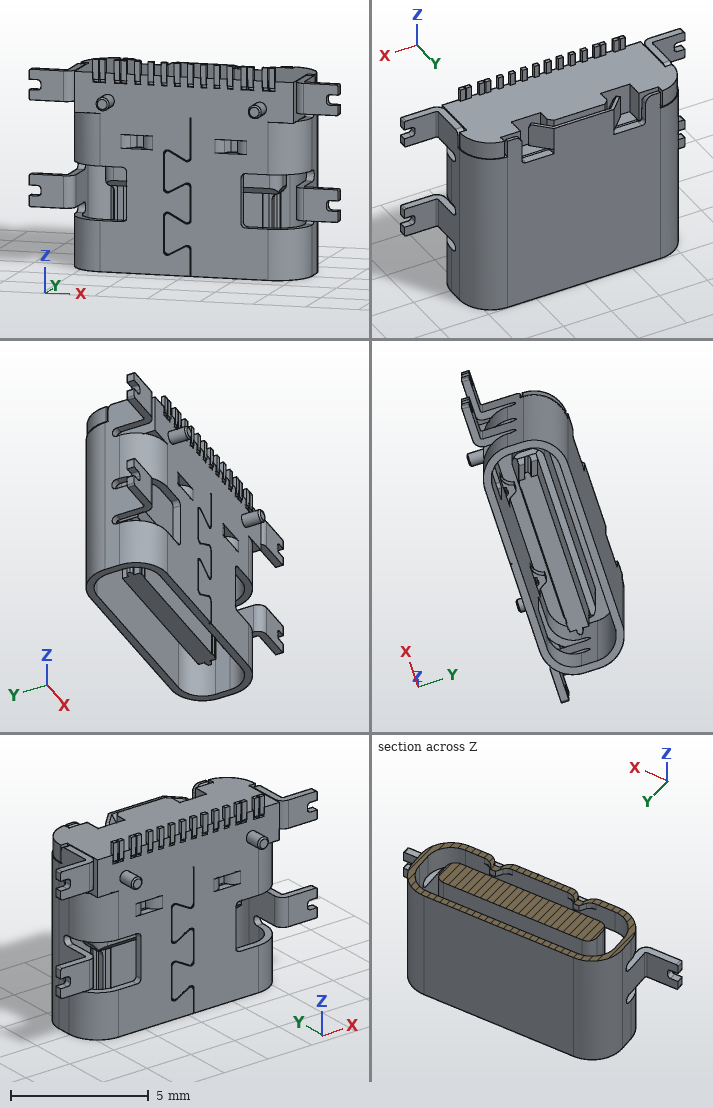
import cadquery as cq
import math

shell_width = 8.94
shell_depth = 3.17
corner_radius = 1.29
sheet = 0.29
front_height = 5.85
back_height = 6.66
half_width = shell_width / 2
front_y = -shell_depth / 2
back_y = shell_depth / 2
flat_half = half_width - corner_radius

body_top = 7.36
body_front_half = 4.14
body_inset = 0.04
shoulder_y = 0.25

foot_half_span = 5.85
foot_drop = 0.04
bend_inner = 0.07
leg_gap_y = 0.07
upper_leg = (6.22, body_top)
lower_leg = (2.28, 3.49)
notch_width = 0.39
notch_length = 0.45
notch_corner = 0.13
foot_corner = 0.07
leg_shoulder = 0.18
window_z = (1.9, 3.91)
slot_end_y = -0.19
window_inner_x = 2.16
window_corner = 0.18

base_bottom, base_half_width, base_half_thick, base_corner = 3.22, 3.35, 0.61, 0.4
tongue_top, tongue_tip = 2.98, 0.58
tongue_half_width, tongue_half_thick = 2.98, 0.36
tongue_flare = 0.21
plate_half_width, plate_half_thick = 3.19, 0.12
plate_edge_half_thick, plate_bevel = 0.06, 0.1
ground_x, ground_width, ground_proud = 2.75, 0.23, 0.02

lance_x = (-2.39, -1.18)
lance_pitch = 3.56
lance_z = (4.61, 5.11)
lance_depth = 0.4
lance_entry = (0.33, 0.14)
lance_floor = (0.49, 0.74)

seam_right, seam_left = 0.23, -0.77
seam_gap, seam_depth = 0.02, 0.07
seam_centres = (3.84, 1.53)
seam_wide, seam_narrow = 1.78, 0.68
seam_rounding = 0.14

pin_top, pin_bottom, pin_pocket_bottom = 7.85, 7.11, 7.0
pin_thick = 0.15
single_pins = 8
single_pin_span = 3.5
contact_pitch = single_pin_span / (single_pins - 1)
pin_width = 0.21
paired_pin_offset = 0.13
pair_centres = (2.4, 3.2)
peg_x, peg_z, peg_radius, peg_length, peg_chamfer = 2.88, 6.33, 0.25, 0.74, 0.06

recess_half = 3.29
recess_depth = 0.33
pocket_x = (1.25, 2.47)
pocket_depth = 1.0
pocket_chamfer = 0.19
tab_top = 7.25
ear_top = 7.35
ear_inner_x = 2.57
ear_corner = 0.3
pocket_floor = 6.14
floor_slope_width, floor_slope_depth = 0.09, 0.12
ear_root = 0.15
lead_in_width, lead_in_height = 0.16, 0.28
tab_half_flat = 1.25
arm_reach, arm_drop = 0.67, 0.69
arm_corner = 0.18
arm_bottom = 6.32


def box(x, y, z):
    """Box from (min, max) ranges."""
    size = [r[1] - r[0] for r in (x, y, z)]
    return cq.Workplane("XY").box(*size, centered=False).translate((x[0], y[0], z[0]))


def both_sides(solid):
    return solid.union(solid.mirror("YZ"))


def rounded_bar(width, depth, radius, z_low, z_high):
    bar = cq.Workplane("XY").workplane(offset=z_low).rect(width, depth).extrude(z_high - z_low)
    return bar.edges("|Z").fillet(radius)


def make_shell():
    tube = rounded_bar(shell_width, shell_depth, corner_radius, 0, back_height)
    cavity = rounded_bar(
        shell_width - 2 * sheet, shell_depth - 2 * sheet, corner_radius - sheet, 0, front_height
    )
    front_removed = box((-half_width, half_width), (front_y, slot_end_y), (front_height, back_height))
    window = box((window_inner_x, half_width), (front_y, slot_end_y), window_z)
    window = window.edges("|Y and <X").fillet(window_corner)
    return tube.cut(cavity).cut(front_removed).cut(both_sides(window))


def make_housing():
    rounded = rounded_bar(
        shell_width - 2 * body_inset, shell_depth - 2 * body_inset, corner_radius - body_inset,
        front_height, body_top,
    )
    rounded = rounded.intersect(
        box((-half_width, half_width), (shoulder_y, back_y), (front_height, body_top))
    )
    square = box((-body_front_half, body_front_half), (front_y, shoulder_y), (front_height, body_top))
    return rounded.union(square)


def make_leg(z_range, rear_y):
    """Right-hand leg: straight wall, rounded bend and notched foot."""
    outer, inner = half_width, half_width - sheet
    foot_y = front_y - foot_drop
    bend_outer = bend_inner + sheet
    z_low, z_high = z_range
    leg = (
        cq.Workplane("XY").workplane(offset=z_low)
        .moveTo(inner, rear_y)
        .lineTo(inner, foot_y + bend_outer)
        .radiusArc((inner + bend_outer, foot_y), -bend_outer)
        .lineTo(foot_half_span, foot_y)
        .lineTo(foot_half_span, foot_y + sheet)
        .lineTo(outer + bend_inner, foot_y + sheet)
        .radiusArc((outer, foot_y + sheet + bend_inner), bend_inner)
        .lineTo(outer, rear_y)
        .close()
        .extrude(z_high - z_low)
    )
    z_mid = (z_low + z_high) / 2
    notch = box(
        (foot_half_span - notch_length, foot_half_span + notch_length),
        (foot_y, foot_y + sheet),
        (z_mid - notch_width / 2, z_mid + notch_width / 2),
    ).edges("|Y and <X").fillet(notch_corner)
    return leg.edges("|Y and >X").fillet(foot_corner).cut(notch)


def slot_end(z_low, z_high):
    """Rounded rear end of the slot beside a leg."""
    width = z_high - z_low
    depth = half_width - body_front_half
    return (
        cq.Workplane("YZ", origin=(body_front_half, slot_end_y, (z_low + z_high) / 2))
        .circle(width / 2).extrude(depth)
    )


def make_tongue():
    base = rounded_bar(
        2 * base_half_width, 2 * base_half_thick, base_corner, base_bottom, front_height
    )
    taper = (
        cq.Workplane("XY").workplane(offset=tongue_top)
        .rect(2 * plate_half_width, 2 * tongue_half_thick)
        .workplane(offset=base_bottom - tongue_top)
        .rect(2 * base_half_width, 2 * base_half_thick)
        .loft()
    ).intersect(
        rounded_bar(2 * base_half_width, 2 * base_half_thick, base_corner, tongue_top, base_bottom)
    )
    blade = box(
        (-tongue_half_width, tongue_half_width),
        (-tongue_half_thick, tongue_half_thick),
        (tongue_tip, tongue_top),
    )
    flare_top = (tongue_half_width + tongue_flare, tongue_top)
    flare = (
        cq.Workplane("XZ", origin=(0, tongue_half_thick, 0))
        .moveTo(tongue_half_width, tongue_top).lineTo(*flare_top)
        .radiusArc((tongue_half_width, tongue_top - tongue_flare), -tongue_flare)
        .close().extrude(2 * tongue_half_thick)
    )
    quarter = [
        (plate_half_width, plate_edge_half_thick), (plate_half_width - plate_bevel, plate_half_thick)
    ]
    plate_outline = (
        quarter
        + [(-x, y) for x, y in reversed(quarter)]
        + [(-x, -y) for x, y in quarter]
        + [(x, -y) for x, y in reversed(quarter)]
    )
    plate = (
        cq.Workplane("XY").workplane(offset=tongue_tip)
        .polyline(plate_outline).close().extrude(tongue_top - tongue_tip)
    )
    contact = box(
        (ground_x - ground_width / 2, ground_x + ground_width / 2),
        (-tongue_half_thick - ground_proud, 0),
        (tongue_tip, tongue_top),
    )
    return base.union(taper).union(blade).union(plate).union(both_sides(contact.union(flare)))


def lance_opening(shift):
    x_range = (lance_x[0] + shift, lance_x[1] + shift)
    return box(x_range, (front_y, front_y + sheet), lance_z)


def tangent_radius(width, depth):
    """Radius of the arc that leaves a flat face tangentially and sinks `depth` over `width`."""
    return (width**2 + depth**2) / (2 * depth)


def make_lance(shift):
    """Strip of the front wall pressed inward, still joined at both ends."""
    x_low, x_high = lance_x
    entry_width, entry_depth = lance_entry
    floor_start, floor_end = (x_low + x for x in lance_floor)
    entry_radius = tangent_radius(entry_width, entry_depth)
    exit_radius = tangent_radius(x_high - floor_end, lance_depth)
    back_face = front_y + sheet
    strip = (
        cq.Workplane("XY").workplane(offset=lance_z[0])
        .moveTo(x_low, front_y)
        .radiusArc((x_low + entry_width, front_y + entry_depth), -entry_radius)
        .lineTo(floor_start, front_y + lance_depth)
        .lineTo(floor_end, front_y + lance_depth)
        .radiusArc((x_high, front_y), -exit_radius)
        .lineTo(x_high, back_face)
        .radiusArc((floor_end, back_face + lance_depth), exit_radius)
        .lineTo(floor_start, back_face + lance_depth)
        .lineTo(x_low + entry_width, back_face + entry_depth)
        .radiusArc((x_low, back_face), entry_radius)
        .close()
        .extrude(lance_z[1] - lance_z[0])
    )
    return strip.translate((shift, 0, 0))


def make_seam():
    """Fine groove where the two edges of the sheet interlock in dovetails."""
    points = [(seam_right, front_height + seam_gap)]
    for centre in seam_centres:
        points += [
            (seam_right, centre + seam_narrow / 2),
            (seam_left, centre + seam_wide / 2),
            (seam_left, centre - seam_wide / 2),
            (seam_right, centre - seam_narrow / 2),
        ]
    points += [(seam_right, -seam_gap), (half_width, -seam_gap), (half_width, front_height + seam_gap)]
    margin = 0.12
    joint = cq.selectors.BoxSelector(
        (seam_left - margin, front_y - margin, margin),
        (seam_right + margin, back_y, front_height - margin),
    )
    wire = cq.Wire.makePolygon([cq.Vector(x, front_y, z) for x, z in points], close=True)
    inset_wire = wire.offset2D(-seam_gap, "intersection")[0]
    right_edge, inner_edge = (
        cq.Workplane(cq.Solid.extrudeLinear(w, [], cq.Vector(0, seam_depth, 0)))
        .edges("|Y").edges(joint).fillet(seam_rounding)
        for w in (wire, inset_wire)
    )
    seam_zone = box(
        (seam_left - margin, seam_right + margin),
        (front_y, front_y + seam_depth),
        (0, front_height),
    )
    return right_edge.cut(inner_edge).intersect(seam_zone)


def pin_centres():
    singles = [(i + 0.5) * contact_pitch for i in range(single_pins // 2)]
    paired = [c + side * paired_pin_offset for c in pair_centres for side in (-1, 1)]
    return [side * x for x in singles + paired for side in (-1, 1)]


def pin_bar(x, z_low, z_high):
    low_y = front_y - foot_drop
    return box((x - pin_width / 2, x + pin_width / 2), (low_y, low_y + pin_thick), (z_low, z_high))


def make_peg():
    peg = cq.Workplane("XZ", origin=(peg_x, front_y, peg_z)).circle(peg_radius).extrude(peg_length)
    return peg.faces("<Y").chamfer(peg_chamfer)


def back_recess():
    """Recess behind the housing plus the pockets for the ends of the spring tab."""
    recess = box(
        (-recess_half, recess_half), (back_y - recess_depth, back_y), (back_height, body_top)
    )
    middle = box(
        (-ear_inner_x, ear_inner_x), (back_y - recess_depth, back_y), (pocket_floor, body_top)
    )
    near, far = pocket_x
    edge_y = back_y - recess_depth
    pocket = (
        cq.Workplane("XY").workplane(offset=pocket_floor)
        .polyline([
            (near - pocket_chamfer, edge_y), (near, edge_y - pocket_chamfer),
            (near, back_y - pocket_depth), (far, back_y - pocket_depth), (far, edge_y),
        ])
        .close().extrude(body_top - pocket_floor)
    )
    slope = (
        cq.Workplane("YZ", origin=(near, 0, 0))
        .polyline([
            (edge_y - floor_slope_width, pocket_floor), (edge_y, pocket_floor),
            (edge_y, pocket_floor - floor_slope_depth),
        ])
        .close().extrude(far - near)
    )
    return recess.union(middle).union(both_sides(pocket.union(slope)))


def make_ear():
    """Upstanding tongue of the back wall with a lead-in on its inner edge."""
    ear = (
        cq.Workplane("XZ", origin=(0, back_y, 0))
        .moveTo(flat_half, pocket_floor)
        .lineTo(flat_half, ear_top)
        .lineTo(ear_inner_x + ear_corner, ear_top)
        .radiusArc((ear_inner_x, ear_top - ear_corner), -ear_corner)
        .lineTo(ear_inner_x, pocket_floor + ear_root)
        .radiusArc((ear_inner_x - ear_root, pocket_floor), ear_root)
        .close().extrude(sheet)
    )
    return ear.cut(lead_in_wedge(ear_inner_x, flat_half, ear_top))


def lead_in_wedge(x_low, x_high, top):
    """Bevel on the inner top edge of the back sheet."""
    inner_y = back_y - sheet
    return (
        cq.Workplane("YZ", origin=(x_low, 0, 0))
        .polyline([
            (inner_y, top),
            (inner_y + lead_in_width, top),
            (inner_y, top - lead_in_height),
        ])
        .close().extrude(x_high - x_low)
    )


def make_spring_tab():
    """Centre of the back wall, with an arm at each end bent into the pockets."""
    centre = box((-tab_half_flat, tab_half_flat), (back_y - sheet, back_y), (pocket_floor, tab_top))
    centre = centre.cut(lead_in_wedge(-tab_half_flat, tab_half_flat, tab_top))
    arm_end = tab_half_flat + math.hypot(arm_reach, arm_drop)
    arm = box((tab_half_flat, arm_end), (back_y - sheet, back_y), (arm_bottom, tab_top))
    arm = arm.cut(lead_in_wedge(tab_half_flat, arm_end, tab_top))
    arm = arm.edges("|Y and >X and >Z").fillet(arm_corner)
    bend_angle = math.degrees(math.atan2(arm_drop, arm_reach))
    bend_line = (tab_half_flat, back_y, 0), (tab_half_flat, back_y, 1)
    return centre.union(both_sides(arm.rotate(*bend_line, -bend_angle)))


result = make_shell().union(make_housing())
result = result.cut(back_recess()).union(both_sides(make_ear())).union(make_spring_tab())
result = result.union(make_tongue())

upper = make_leg(upper_leg, shoulder_y - leg_gap_y).edges("|X and >Y and >Z").fillet(leg_shoulder)
result = result.union(both_sides(upper)).union(both_sides(make_leg(lower_leg, slot_end_y)))
for z_low, z_high in (
    (front_height, upper_leg[0]), (lower_leg[1], window_z[1]), (window_z[0], lower_leg[0])
):
    result = result.cut(both_sides(slot_end(z_low, z_high)))

for shift in (0, lance_pitch):
    result = result.cut(lance_opening(shift)).union(make_lance(shift))
result = result.cut(make_seam())

for x in pin_centres():
    result = result.cut(pin_bar(x, pin_pocket_bottom, body_top))
for x in pin_centres():
    result = result.union(pin_bar(x, pin_bottom, pin_top))
result = result.union(both_sides(make_peg()))